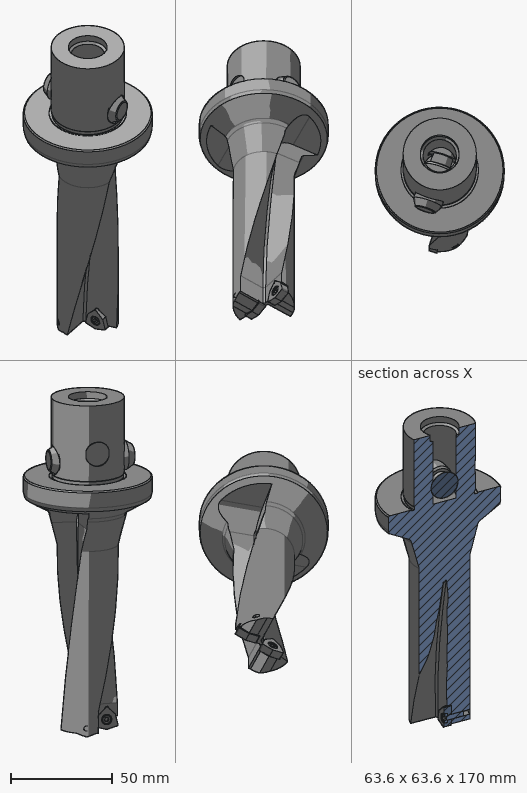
import cadquery as cq
import math

total_height = 170.0
shank_radius = 18.0
undercut_radius = 17.7
undercut_top_z = 131.2
groove_radius = 19.0
groove_depth = 0.5
flange_radius = 31.8
flange_top_z = 130.0
flange_chamfer = 0.7
flange_rim_z = 121.7
cone_top_radius = 31.3
cone_top_z = 119.7
cone_waist_radius = 20.4
cone_waist_z = 113.2
taper_top_radius = 19.2
taper_top_z = 111.2
waist_mid_radius = 19.5
waist_mid_z = 112.4
drill_radius = 15.1
taper_bottom_z = 95.2

bore_radius = 8.2
bore_mouth_radius = 9.5
bore_mouth_depth = 3.4
bore_cone_depth = 0.8
bore_bottom_z = flange_top_z
spot_radius = 6.1
spot_z = 145.2
spot_depth = 1.0

pin_z = 139.0
pin_radius = 7.3
pin_tip_radius = 5.3
pin_face_radius = 4.6
pin_bevel_length = 0.3
pin_cone_angle = 30.0
pin_cone_length = (pin_radius - pin_tip_radius) / math.tan(math.radians(pin_cone_angle))
pin_left_x = -23.0
pin_shoulder_x = 0.2
pin_chamfer_length = 1.4
pin_chamfer_height = 0.7
pin_neck_radius = 5.1
nut_left_x = 5.1
nut_right_x = 20.2

straight_top_z = 13.3
twist_top_z = 107.1
twist_angle = 75.0
section_count = 8
corner_bevel_x = 1.2
corner_bevel_y = 0.8
seat_offset = 0.5
outer_flute_bottom = (1.0, 0.0, seat_offset, 0.0)
inner_flute_bottom = (-2.0, 8.0, seat_offset, -23.0)
outer_flute_top = (3.5, 0.0, 4.8, -7.0)
inner_flute_top = (3.5, 0.0, 4.8, -14.0)
flute_reach = 34.0
runout_radius = 10.7

insert_corner_radius = 6.8
insert_middle_radius = 5.02
insert_round = 0.5
insert_thickness = 4.0
insert_z = insert_middle_radius
inner_insert_x = 4.8
outer_insert_x = 9.7
screw_head_radius = 2.5
screw_head_bottom = 2.0
screw_head_top = 0.3
screw_head_chamfer = 0.5
screw_radius = 1.28
screw_length = 11.0
screw_hole_depth = 14.5
socket_radius = 1.2
socket_bottom = 1.5
relief_radius = 0.8

end_peak_z = 0.7
end_land_z = 2.4
end_slope_width = 4.6
notch_height = 6.6
notch_radius = 14.1

insert_places = [(outer_insert_x, 0), (inner_insert_x, 180)]


def make_blank():
    """Turned outline of shank, flange, cone and drill."""
    return (
        cq.Workplane("XZ")
        .moveTo(0, end_peak_z)
        .lineTo(drill_radius, end_peak_z)
        .lineTo(drill_radius, taper_bottom_z)
        .lineTo(taper_top_radius, taper_top_z)
        .threePointArc((waist_mid_radius, waist_mid_z), (cone_waist_radius, cone_waist_z))
        .lineTo(cone_top_radius, cone_top_z)
        .lineTo(flange_radius, flange_rim_z)
        .lineTo(flange_radius, flange_top_z - flange_chamfer)
        .lineTo(flange_radius - flange_chamfer, flange_top_z)
        .lineTo(groove_radius, flange_top_z)
        .lineTo(groove_radius, flange_top_z - groove_depth)
        .lineTo(undercut_radius, flange_top_z - groove_depth)
        .lineTo(undercut_radius, undercut_top_z)
        .lineTo(shank_radius, undercut_top_z + shank_radius - undercut_radius)
        .lineTo(shank_radius, total_height)
        .lineTo(0, total_height)
        .close()
        .revolve(360, (0, 0, 0), (0, 1, 0))
    )


def make_bore():
    """Blind bore with a wider mouth and a conical step."""
    mouth_z = total_height - bore_mouth_depth
    return (
        cq.Workplane("XZ")
        .moveTo(0, bore_bottom_z)
        .lineTo(bore_radius, bore_bottom_z)
        .lineTo(bore_radius, mouth_z - bore_cone_depth)
        .lineTo(bore_mouth_radius, mouth_z)
        .lineTo(bore_mouth_radius, total_height)
        .lineTo(0, total_height)
        .close()
        .revolve(360, (0, 0, 0), (0, 1, 0))
    )


def make_spot_face():
    """Round flat cut into the +Y side of the shank."""
    return (
        cq.Workplane("XZ", origin=(0, shank_radius - spot_depth, spot_z))
        .circle(spot_radius)
        .extrude(-shank_radius)
    )


def flute_section(z, turn, shape):
    """Wedge open to -X and +Y, turned about Z; a tilted wall leans off its axis direction."""
    wall_offset, wall_tilt, seat_wall_offset, seat_tilt = shape
    wall_shift = flute_reach * math.tan(math.radians(wall_tilt))
    seat_shift = flute_reach * math.tan(math.radians(seat_tilt))
    points = [
        (-wall_offset, seat_wall_offset + corner_bevel_y),
        (-wall_offset - wall_shift, flute_reach),
        (-flute_reach, flute_reach),
        (-flute_reach, seat_wall_offset + seat_shift),
        (-wall_offset - corner_bevel_x, seat_wall_offset),
    ]
    wire = cq.Workplane("XY", origin=(0, 0, z)).polyline(points).close().wires().val()
    return wire.rotate((0, 0, 0), (0, 0, 1), turn)


def make_straight_flute():
    section = flute_section(0, 0, outer_flute_bottom)
    return cq.Workplane("XY").add(
        cq.Solid.extrudeLinear(section, [], cq.Vector(0, 0, straight_top_z))
    )


def make_twisted_flute(bottom_z, bottom_shape, top_shape):
    """Loft of turned wedges whose shape changes evenly with height."""
    sections = []
    for i in range(section_count + 1):
        share = i / section_count
        z = bottom_z + share * (twist_top_z - bottom_z)
        turn = twist_angle * (z - straight_top_z) / (twist_top_z - straight_top_z)
        shape = [low + share * (high - low) for low, high in zip(bottom_shape, top_shape)]
        sections.append(flute_section(z, turn, shape))
    return cq.Workplane("XY").add(cq.Solid.makeLoft(sections))


def make_runout(top_shape):
    """Flute end: the leading wall rounds over into a flat ceiling."""
    ceiling_z = twist_top_z + runout_radius
    section = flute_section(twist_top_z, twist_angle, top_shape)
    wedge = cq.Solid.extrudeLinear(section, [], cq.Vector(0, 0, runout_radius))
    wall_x = -top_shape[0]
    bend = runout_radius * (1 - math.sqrt(0.5))
    profile = (
        cq.Workplane("XZ", origin=(0, flute_reach, 0))
        .moveTo(wall_x, twist_top_z)
        .threePointArc((wall_x - bend, ceiling_z - bend), (wall_x - runout_radius, ceiling_z))
        .lineTo(-flute_reach, ceiling_z)
        .lineTo(-flute_reach, twist_top_z)
        .close()
        .extrude(flute_reach)
        .rotate((0, 0, 0), (0, 0, 1), twist_angle)
    )
    return profile.intersect(cq.Workplane("XY").add(wedge))


def half_turn(shape):
    return shape.rotate((0, 0, 0), (0, 0, 1), 180)


def make_end_relief(distance, turn):
    """Trims one half of the drill end to a shallow V that follows its insert."""
    return (
        cq.Workplane("XZ", origin=(0, flute_reach, 0))
        .moveTo(0, 0)
        .lineTo(0, end_land_z)
        .lineTo(end_slope_width - distance, end_land_z)
        .lineTo(-distance, end_peak_z)
        .lineTo(-distance - end_slope_width, end_land_z)
        .lineTo(-flute_reach, end_land_z)
        .lineTo(-flute_reach, 0)
        .close()
        .extrude(2 * flute_reach)
        .rotate((0, 0, 0), (0, 0, 1), turn)
    )


def is_sharp(edge):
    """True for an edge farther from the insert's axis than its blunt corners."""
    from_axis = math.hypot(edge.Center().x, edge.Center().z)
    return from_axis > (insert_corner_radius + insert_middle_radius) / 2


def make_insert_blank(distance, turn):
    """Trigon plate: three sharp corners alternating with three blunt ones."""
    points = []
    for i in range(6):
        radius = insert_middle_radius if i % 2 else insert_corner_radius
        angle = math.radians(90 + 60 * i)
        points.append((radius * math.cos(angle), radius * math.sin(angle)))
    plate = cq.Workplane("XZ").polyline(points).close().extrude(insert_thickness)
    plate = plate.edges("|Y").filter(is_sharp).fillet(insert_round)
    return place(plate, distance, turn)


def place(shape, distance, turn):
    """Moves a shape made about the origin to an insert's face centre."""
    return shape.translate((-distance, seat_offset, insert_z)).rotate((0, 0, 0), (0, 0, 1), turn)


def make_screw_hole(distance, turn):
    """Stepped hole through the insert and into the body."""
    head = cq.Workplane("XZ").circle(screw_head_radius).extrude(screw_head_bottom)
    stem = cq.Workplane("XZ").circle(screw_radius).extrude(screw_hole_depth)
    return place(head.union(stem), distance, turn)


def make_corner_relief(distance, turn):
    relief = (
        cq.Workplane("XZ")
        .center(0, insert_corner_radius - relief_radius)
        .circle(relief_radius)
        .extrude(insert_thickness)
    )
    return place(relief, distance, turn)


def make_insert(distance, turn):
    return make_insert_blank(distance, turn).cut(make_screw_hole(distance, turn))


def make_screw(distance, turn):
    """Chamfered cylindrical head with a hexagon socket, and a plain stem."""
    screw = (
        cq.Workplane("XY")
        .moveTo(0, -screw_head_top)
        .lineTo(screw_head_radius - screw_head_chamfer, -screw_head_top)
        .lineTo(screw_head_radius, -screw_head_top - screw_head_chamfer)
        .lineTo(screw_head_radius, -screw_head_bottom)
        .lineTo(screw_radius, -screw_head_bottom)
        .lineTo(screw_radius, -screw_length)
        .lineTo(0, -screw_length)
        .close()
        .revolve(360, (0, 0, 0), (0, 1, 0))
    )
    socket = cq.Workplane("XZ").polygon(6, 2 * socket_radius).extrude(socket_bottom)
    return place(screw.cut(socket), distance, turn)


def make_side_notch():
    """Window in the drill's side at the outer insert."""
    return cq.Workplane("XY").box(
        flute_reach, insert_thickness, notch_height, centered=False
    ).translate((-notch_radius - flute_reach, seat_offset - insert_thickness, 0))


def make_pin():
    """Pin from the -X side: cone tip, cylinder, bevelled shoulder and neck."""
    return (
        cq.Workplane("XY", origin=(0, 0, pin_z))
        .moveTo(pin_left_x, 0)
        .lineTo(pin_left_x, pin_face_radius)
        .lineTo(pin_left_x + pin_bevel_length, pin_tip_radius)
        .lineTo(pin_left_x + pin_bevel_length + pin_cone_length, pin_radius)
        .lineTo(pin_shoulder_x - pin_chamfer_length, pin_radius)
        .lineTo(pin_shoulder_x, pin_radius - pin_chamfer_height)
        .lineTo(pin_shoulder_x, pin_neck_radius)
        .lineTo(nut_left_x, pin_neck_radius)
        .lineTo(nut_left_x, 0)
        .close()
        .revolve(360, (0, 0, 0), (1, 0, 0))
    )


def make_nut():
    """Counterpart on the +X side, butting against the pin's neck."""
    return (
        cq.Workplane("XY", origin=(0, 0, pin_z))
        .moveTo(nut_left_x, 0)
        .lineTo(nut_left_x, pin_radius)
        .lineTo(nut_right_x - pin_bevel_length - pin_cone_length, pin_radius)
        .lineTo(nut_right_x - pin_bevel_length, pin_tip_radius)
        .lineTo(nut_right_x, pin_face_radius)
        .lineTo(nut_right_x, 0)
        .close()
        .revolve(360, (0, 0, 0), (1, 0, 0))
    )


def make_pin_hole():
    return (
        cq.Workplane("YZ", origin=(0, 0, pin_z))
        .circle(pin_radius)
        .extrude(shank_radius, both=True)
    )


def make_body():
    body = make_blank().cut(make_bore()).cut(make_spot_face()).cut(make_pin_hole())
    body = body.cut(make_straight_flute())
    body = body.cut(make_twisted_flute(straight_top_z, outer_flute_bottom, outer_flute_top))
    body = body.cut(make_runout(outer_flute_top))
    body = body.cut(half_turn(make_twisted_flute(0, inner_flute_bottom, inner_flute_top)))
    body = body.cut(half_turn(make_runout(inner_flute_top)))
    for distance, turn in insert_places:
        body = body.cut(make_end_relief(distance, turn))
        body = body.cut(make_insert_blank(distance, turn))
        body = body.cut(make_corner_relief(distance, turn))
        body = body.cut(make_screw_hole(distance, turn))
    return body.cut(make_side_notch())


body = make_body()
pin = make_pin()
nut = make_nut()
inserts = [make_insert(distance, turn).solids().val() for distance, turn in insert_places]
screws = [make_screw(distance, turn).solids().val() for distance, turn in insert_places]

result = cq.Compound.makeCompound([body.solids().val(), pin.val(), nut.val(), *inserts, *screws])